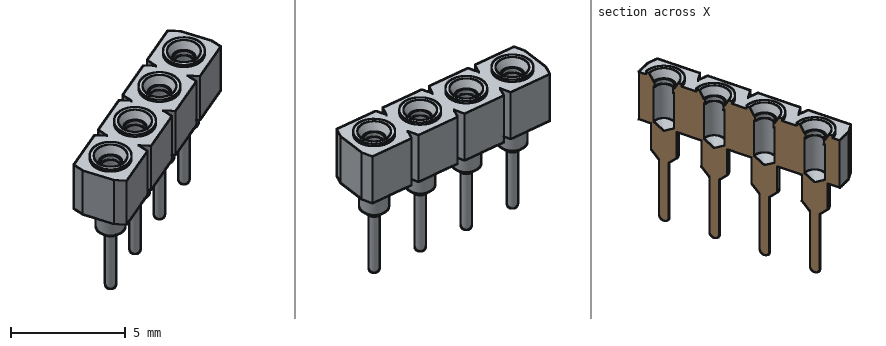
import cadquery as cq
import math


pin_count = 4
pitch = 2.54
overall_height = 7.62

housing_width = 2.54
housing_height = 2.54
housing_length = pin_count * pitch
notch_depth = 0.52
notch_flank_angle = 20.0
notch_half_length = notch_depth * math.tan(math.radians(notch_flank_angle))

rim_diameter = 1.83
rim_height = 0.127
barrel_diameter = 1.32
barrel_length = 1.38
tail_diameter = 0.51
taper_angle = 45.0

funnel_diameter = 1.47
funnel_depth = 0.38
bore_diameter = 1.02
bore_bottom_depth = 2.5
collar_diameter = 0.91
collar_height = 0.265
bore_tip_angle = 118.0

rim_top = housing_height + rim_height
tail_bottom = rim_top - overall_height
tip_radius = tail_diameter / 2
taper_height = (barrel_diameter - tail_diameter) / 2 / math.tan(math.radians(taper_angle))
funnel_base = rim_top - funnel_depth
collar_bottom = funnel_base - collar_height
bore_bottom = rim_top - bore_bottom_depth
bore_tip_depth = bore_diameter / 2 / math.tan(math.radians(bore_tip_angle / 2))


def make_housing():
    """Row of square cells whose corners are cut back, leaving V notches between cells."""
    block = cq.Workplane("XY").rect(housing_width, housing_length).extrude(housing_height)
    half_width = housing_width / 2
    for i in range(pin_count + 1):
        y = i * pitch - housing_length / 2
        for side in (-1, 1):
            notch = (
                cq.Workplane("XY")
                .moveTo(side * half_width, y - notch_half_length)
                .lineTo(side * (half_width - notch_depth), y)
                .lineTo(side * half_width, y + notch_half_length)
                .close()
                .extrude(housing_height)
            )
            block = block.cut(notch)
    return block


def revolve_about_z(profile):
    """Turn a closed XZ half profile about the Z axis."""
    return profile.close().revolve(360, (0, 0, 0), (0, 1, 0))


def make_pin():
    """Outside of one contact: rim, barrel, taper, and tail with a round tip."""
    taper_top = -barrel_length
    return revolve_about_z(
        cq.Workplane("XZ")
        .moveTo(0, rim_top)
        .lineTo(rim_diameter / 2, rim_top)
        .lineTo(rim_diameter / 2, housing_height)
        .lineTo(barrel_diameter / 2, housing_height)
        .lineTo(barrel_diameter / 2, taper_top)
        .lineTo(tail_diameter / 2, taper_top - taper_height)
        .lineTo(tail_diameter / 2, tail_bottom + tip_radius)
        .radiusArc((0, tail_bottom), tip_radius)
    )


def make_socket():
    """Opening of one contact: lead-in funnel, thin collar, and bore with a conical floor."""
    return revolve_about_z(
        cq.Workplane("XZ")
        .moveTo(0, rim_top)
        .lineTo(funnel_diameter / 2, rim_top)
        .lineTo(bore_diameter / 2, funnel_base)
        .lineTo(collar_diameter / 2, funnel_base)
        .lineTo(collar_diameter / 2, collar_bottom)
        .lineTo(bore_diameter / 2, collar_bottom)
        .lineTo(bore_diameter / 2, bore_bottom)
        .lineTo(0, bore_bottom - bore_tip_depth)
    )


pin = make_pin()
socket = make_socket()
first_pin_y = (pitch - housing_length) / 2

result = make_housing()
for i in range(pin_count):
    pin_position = (0, first_pin_y + i * pitch, 0)
    result = result.union(pin.translate(pin_position))
    result = result.cut(socket.translate(pin_position))